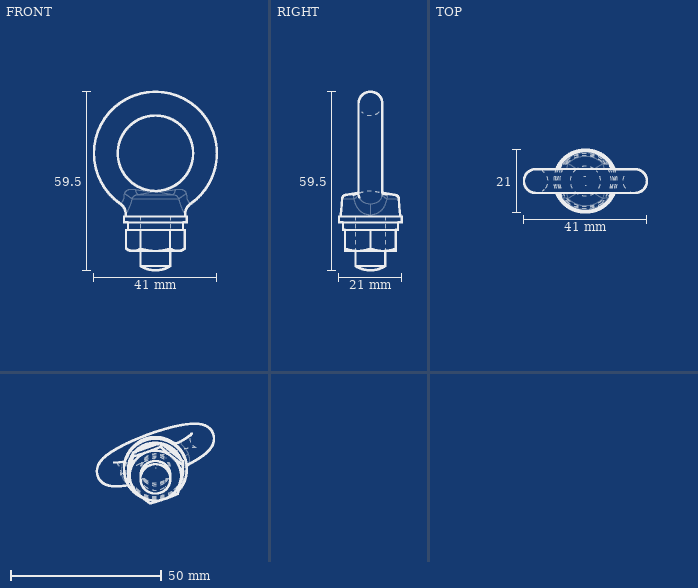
import cadquery as cq
import math


ring_outer_diameter = 41.0
ring_inner_diameter = 25.0
ring_center_z = 21.0
wire_radius = (ring_outer_diameter - ring_inner_diameter) / 4
ring_path_radius = (ring_outer_diameter + ring_inner_diameter) / 4

collar_bottom_radius = 10.0
collar_draft = 5.0
collar_rim_z = 7.0
collar_rim_radius = collar_bottom_radius - collar_rim_z * math.tan(math.radians(collar_draft))
collar_tip_z = ring_center_z - ring_inner_diameter / 2
collar_rim_fillet = 1.5
ring_blend_radius = 4.0

shank_diameter = 10.0
shank_radius = shank_diameter / 2
shank_end_z = -18.0
shank_dome_height = 1.5
shank_dome_start_z = shank_end_z + shank_dome_height
shank_dome_radius = (shank_radius**2 + shank_dome_height**2) / (2 * shank_dome_height)

flat_washer_diameter = 21.0
flat_washer_thickness = 2.0
spring_washer_diameter = 18.4
spring_washer_thickness = 2.5

hexagon_sides = 6
nut_across_flats = 17.0
nut_height = 7.0
nut_chamfer_angle = 30.0
nut_corner_radius = nut_across_flats / 2 / math.cos(math.pi / hexagon_sides)

flat_washer_bottom_z = -flat_washer_thickness
spring_washer_bottom_z = flat_washer_bottom_z - spring_washer_thickness
nut_bottom_z = spring_washer_bottom_z - nut_height


def make_collar():
    half_section = (
        cq.Workplane("XZ")
        .moveTo(0, 0)
        .lineTo(collar_bottom_radius, 0)
        .lineTo(collar_rim_radius, collar_rim_z)
        .lineTo(0, collar_tip_z)
        .close()
    )
    collar = half_section.revolve(360, (0, 0, 0), (0, 1, 0))
    rim_point = (0, collar_rim_radius, collar_rim_z)
    return collar.edges(cq.selectors.NearestToPointSelector(rim_point)).fillet(collar_rim_fillet)


def make_ring():
    torus = cq.Solid.makeTorus(
        ring_path_radius, wire_radius, cq.Vector(0, 0, ring_center_z), cq.Vector(0, 1, 0)
    )
    return cq.Workplane(torus)


def make_shank():
    half_section = (
        cq.Workplane("XZ")
        .lineTo(shank_radius, 0)
        .lineTo(shank_radius, shank_dome_start_z)
        .radiusArc((0, shank_end_z), shank_dome_radius)
        .close()
    )
    return half_section.revolve(360, (0, 0, 0), (0, 1, 0))


def make_eye_bolt():
    eye = make_collar().union(make_ring())
    eye = eye.edges("not (%CIRCLE or %LINE)").fillet(ring_blend_radius)
    return eye.union(make_shank())


def make_washer(diameter, thickness, bottom_z):
    return (
        cq.Workplane("XY", origin=(0, 0, bottom_z))
        .circle(diameter / 2)
        .circle(shank_radius)
        .extrude(thickness)
    )


def make_nut():
    nut = (
        cq.Workplane("XY", origin=(0, 0, nut_bottom_z))
        .polygon(hexagon_sides, 2 * nut_corner_radius)
        .circle(shank_radius)
        .extrude(nut_height)
    )
    chamfer_rise = (nut_corner_radius - nut_across_flats / 2) * math.tan(math.radians(nut_chamfer_angle))
    trim = (
        cq.Workplane("XZ", origin=(0, 0, nut_bottom_z))
        .lineTo(nut_across_flats / 2, 0)
        .lineTo(nut_corner_radius, chamfer_rise)
        .lineTo(nut_corner_radius, nut_height)
        .lineTo(0, nut_height)
        .close()
        .revolve(360, (0, 0, 0), (0, 1, 0))
    )
    return nut.intersect(trim)


eye_bolt = make_eye_bolt()
flat_washer = make_washer(flat_washer_diameter, flat_washer_thickness, flat_washer_bottom_z)
spring_washer = make_washer(spring_washer_diameter, spring_washer_thickness, spring_washer_bottom_z)
nut = make_nut()

result = cq.Compound.makeCompound(
    [eye_bolt.val(), flat_washer.val(), spring_washer.val(), nut.val()]
)